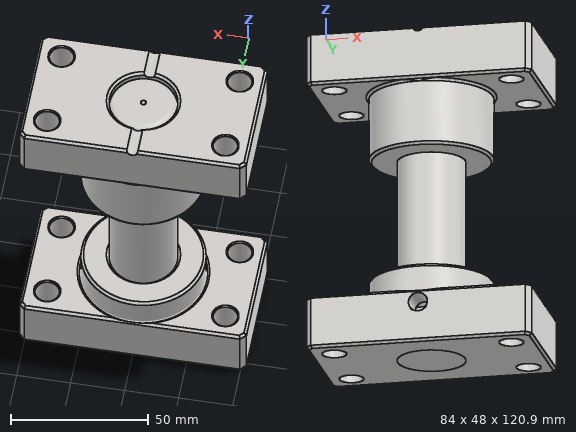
import cadquery as cq

TOTAL_HEIGHT = 120.9
EDGE_CHAMFER = 1.0

PLATE_LENGTH = 84.0
PLATE_WIDTH = 48.0
PLATE_THICKNESS = 20.0
CORNER_CHAMFER = 2.0

BOLT_SPACING_X = 66.0
BOLT_SPACING_Y = 30.1
BOLT_HOLE_DIAMETER = 9.0
BOLT_HOLE_CHAMFER = 0.5

BOSS_RADIUS = 22.8
LOWER_BOSS_HEIGHT = 10.0
UPPER_BOSS_HEIGHT = 25.0
UPPER_BOSS_FILLET = 1.0

RELIEF_OUTER_RADIUS = 24.2
RELIEF_DEPTH = 0.6

VENT_RADIUS = 2.0
VENT_RISE = 0.1

POST_RADIUS = 12.6
POST_LENGTH = 119.9
POST_END_FILLET = 3.0
CENTRE_CONE_RADIUS = 1.0

SCREW_HOLE_DIAMETER = 7.0
SCREW_HOLE_DROP = 5.0
SCREW_GROOVE_RADIUS = 10.0
SCREW_GROOVE_FLOOR = 5.2

LOWER_BOSS_TOP = PLATE_THICKNESS + LOWER_BOSS_HEIGHT
UPPER_PLATE_BOTTOM = TOTAL_HEIGHT - PLATE_THICKNESS
UPPER_BOSS_BOTTOM = UPPER_PLATE_BOTTOM - UPPER_BOSS_HEIGHT
SCREW_HEIGHT = PLATE_THICKNESS - SCREW_HOLE_DROP


def revolve_about_z(profile):
    """Close an outline of (radius, z) points and turn it about the Z axis."""
    return profile.close().revolve(360, (0, 0, 0), (0, 1, 0))


def plate(bottom):
    """Chamfered plate with four chamfered bolt holes."""
    body = (
        cq.Workplane("XY", origin=(0, 0, bottom))
        .box(PLATE_LENGTH, PLATE_WIDTH, PLATE_THICKNESS, centered=(True, True, False))
        .edges("|Z").chamfer(CORNER_CHAMFER)
        .faces("<Z or >Z").edges().chamfer(EDGE_CHAMFER)
    )
    countersink_diameter = BOLT_HOLE_DIAMETER + 2 * BOLT_HOLE_CHAMFER
    return (
        body.faces(">Z").workplane(origin=(0, 0, 0))
        .rarray(BOLT_SPACING_X, BOLT_SPACING_Y, 2, 2)
        .cskHole(BOLT_HOLE_DIAMETER, countersink_diameter, 90)
    )


def bore(bottom, top):
    """Cutter for a post bore whose upper rim is chamfered."""
    cylinder = cq.Workplane("XY", origin=(0, 0, bottom)).circle(POST_RADIUS).extrude(top - bottom)
    rim = revolve_about_z(
        cq.Workplane("XZ")
        .moveTo(0, top - EDGE_CHAMFER)
        .lineTo(POST_RADIUS, top - EDGE_CHAMFER)
        .lineTo(POST_RADIUS + EDGE_CHAMFER, top)
        .lineTo(0, top)
    )
    return cylinder.union(rim)


def relief_groove():
    """Cutter for the ring groove around the lower boss, round inside and sloped outside."""
    return revolve_about_z(
        cq.Workplane("XZ")
        .moveTo(BOSS_RADIUS, PLATE_THICKNESS)
        .radiusArc((BOSS_RADIUS + RELIEF_DEPTH, PLATE_THICKNESS - RELIEF_DEPTH), -RELIEF_DEPTH)
        .lineTo(RELIEF_OUTER_RADIUS, PLATE_THICKNESS)
    )


def root_fillet():
    """Fillet ring under the upper plate, trimmed along the plate to the width of the boss."""
    ring = revolve_about_z(
        cq.Workplane("XZ")
        .moveTo(BOSS_RADIUS, UPPER_PLATE_BOTTOM)
        .lineTo(BOSS_RADIUS + UPPER_BOSS_FILLET, UPPER_PLATE_BOTTOM)
        .radiusArc((BOSS_RADIUS, UPPER_PLATE_BOTTOM - UPPER_BOSS_FILLET), -UPPER_BOSS_FILLET)
    )
    trim_zone = cq.Workplane("XY", origin=(0, 0, UPPER_PLATE_BOTTOM)).box(
        PLATE_LENGTH, 2 * BOSS_RADIUS, 2 * UPPER_BOSS_FILLET
    )
    return ring.intersect(trim_zone)


def make_lower_holder():
    """Lower plate with a short boss, relief groove, post bore and set-screw hole."""
    boss = (
        cq.Workplane("XY").circle(BOSS_RADIUS).extrude(LOWER_BOSS_TOP)
        .faces(">Z").edges().chamfer(EDGE_CHAMFER)
    )
    screw_hole = (
        cq.Workplane("XZ", origin=(0, 0, SCREW_HEIGHT))
        .circle(SCREW_HOLE_DIAMETER / 2).extrude(PLATE_WIDTH / 2)
    )
    return (
        plate(0).cut(relief_groove()).union(boss)
        .cut(bore(0, LOWER_BOSS_TOP)).cut(screw_hole)
    )


def make_upper_holder():
    """Upper plate with a long boss below, post bore and vent groove across the top."""
    boss = (
        cq.Workplane("XY", origin=(0, 0, UPPER_BOSS_BOTTOM))
        .circle(BOSS_RADIUS).extrude(TOTAL_HEIGHT - EDGE_CHAMFER - UPPER_BOSS_BOTTOM)
        .faces("<Z").edges().chamfer(EDGE_CHAMFER)
    )
    vent = (
        cq.Workplane("XZ", origin=(0, 0, TOTAL_HEIGHT + VENT_RISE))
        .circle(VENT_RADIUS).extrude(PLATE_WIDTH / 2, both=True)
    )
    return (
        plate(UPPER_PLATE_BOTTOM).union(boss).union(root_fillet())
        .cut(bore(UPPER_BOSS_BOTTOM, TOTAL_HEIGHT)).cut(vent)
    )


def make_post():
    """Round post with a set-screw groove, a rounded top end and a centre mark."""
    groove_depth = POST_RADIUS - SCREW_GROOVE_RADIUS
    half_floor = SCREW_GROOVE_FLOOR / 2
    half_mouth = half_floor + groove_depth
    return revolve_about_z(
        cq.Workplane("XZ")
        .moveTo(0, 0)
        .lineTo(POST_RADIUS, 0)
        .lineTo(POST_RADIUS, SCREW_HEIGHT - half_mouth)
        .lineTo(SCREW_GROOVE_RADIUS, SCREW_HEIGHT - half_floor)
        .lineTo(SCREW_GROOVE_RADIUS, SCREW_HEIGHT + half_floor)
        .lineTo(POST_RADIUS, SCREW_HEIGHT + half_mouth)
        .lineTo(POST_RADIUS, POST_LENGTH - POST_END_FILLET)
        .radiusArc((POST_RADIUS - POST_END_FILLET, POST_LENGTH), -POST_END_FILLET)
        .lineTo(CENTRE_CONE_RADIUS, POST_LENGTH)
        .lineTo(0, POST_LENGTH - CENTRE_CONE_RADIUS)
    )


lower_holder = make_lower_holder()
upper_holder = make_upper_holder()
post = make_post()

result = cq.Compound.makeCompound([
    lower_holder.solids().val(),
    upper_holder.solids().val(),
    post.solids().val(),
])